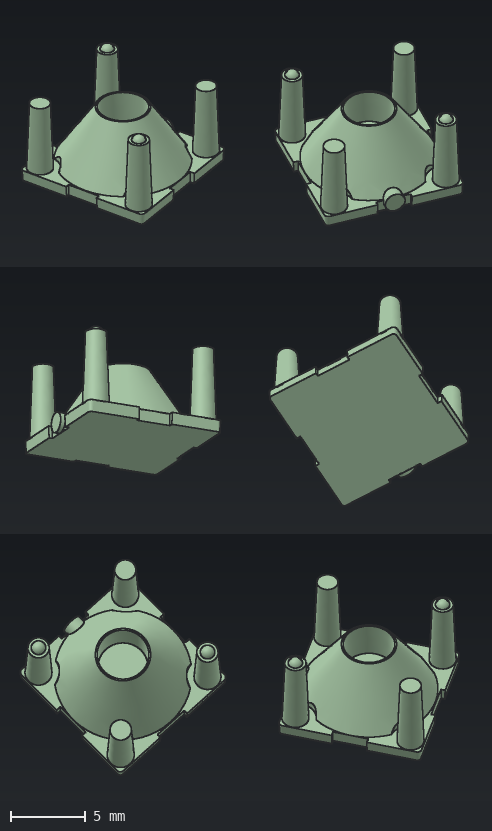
import cadquery as cq
import math

plate_width = 9.9
plate_height = 0.84
plate_draft = 3.0
corner_radius = 0.25
notch_width = 2.45
notch_depth_x = 0.34
notch_depth_y = 0.29

cone_base_radius = 4.62
cone_top_radius = 1.85
cone_top = 5.01
bore_top_radius = 1.73
bore_floor_radius = 1.66
bore_depth = 2.49

pin_offset = 4.0
pin_base_radius = 0.91
pin_top_radius = 0.72
pin_top = 6.0
clearance_radius = 1.4
tip_radius = 0.5
overall_height = 6.4

peg_radius = 0.71
peg_overhang = 0.05
peg_end = plate_width / 2 + peg_overhang


def frustum(bottom_radius, top_radius, bottom, top):
    """Vertical truncated cone between two heights."""
    return cq.Workplane(cq.Solid.makeCone(
        bottom_radius, top_radius, top - bottom, pnt=cq.Vector(0, 0, bottom)))


def make_plate():
    inset = plate_height * math.tan(math.radians(plate_draft))
    bottom_width = plate_width - 2 * inset
    outline = cq.Sketch().rect(bottom_width, bottom_width).vertices().fillet(corner_radius)
    plate = cq.Workplane("XY").placeSketch(outline).extrude(plate_height, taper=-plate_draft)
    for side in (-1, 1):
        middle = side * plate_width / 2
        plate = plate.cut(
            cq.Workplane("XY").center(middle, 0)
            .rect(2 * notch_depth_x, notch_width).extrude(plate_height))
        plate = plate.cut(
            cq.Workplane("XY").center(0, middle)
            .rect(notch_width, 2 * notch_depth_y).extrude(plate_height))
    return plate


def make_pin(has_tip):
    pin = frustum(pin_base_radius, pin_top_radius, plate_height, pin_top)
    if has_tip:
        tip_centre = overall_height - tip_radius
        pin = pin.union(cq.Workplane("XY").sphere(tip_radius).translate((0, 0, tip_centre)))
    return pin


def make_cone():
    cone = frustum(cone_base_radius, cone_top_radius, plate_height, cone_top)
    clearances = (
        cq.Workplane("XY", origin=(0, 0, plate_height))
        .rect(2 * pin_offset, 2 * pin_offset, forConstruction=True)
        .vertices()
        .circle(clearance_radius)
        .extrude(cone_top - plate_height)
    )
    return cone.cut(clearances)


def make_peg():
    peg_start = cone_base_radius - peg_radius
    return (
        cq.Workplane("XZ", origin=(0, peg_end, peg_radius))
        .circle(peg_radius)
        .extrude(peg_end - peg_start)
    )


result = make_plate().union(make_cone()).union(make_peg())
result = result.cut(frustum(bore_floor_radius, bore_top_radius, cone_top - bore_depth, cone_top))

for x_side in (-1, 1):
    for y_side in (-1, 1):
        pin = make_pin(has_tip=x_side != y_side)
        result = result.union(pin.translate((x_side * pin_offset, y_side * pin_offset, 0)))